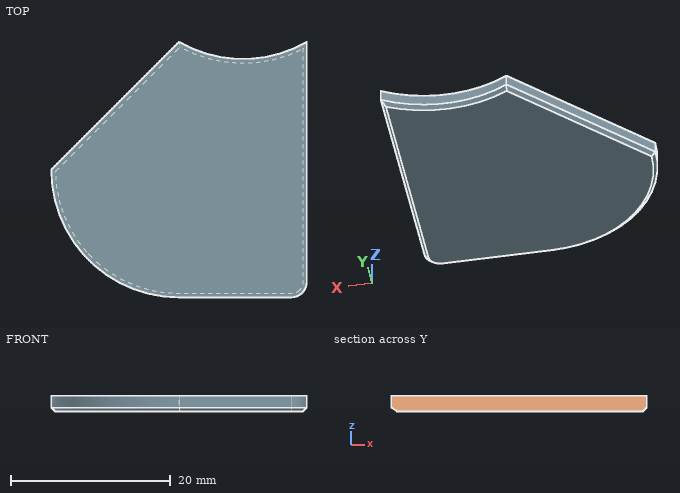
import cadquery as cq

side = 32.0
thickness = 2.0
corner_radius = 2.0
bottom_chamfer = 0.5

half = side / 2
arc_radius = half

outline = (
    cq.Workplane("XY")
    .moveTo(-half, 0)
    .radiusArc((0, -half), -arc_radius)
    .lineTo(half, -half)
    .lineTo(half, half)
    .radiusArc((0, half), arc_radius)
    .close()
)
plate = outline.extrude(thickness)

plate = plate.edges("|Z and >X and <Y").fillet(corner_radius)

result = plate.faces("<Z").edges().chamfer(bottom_chamfer)